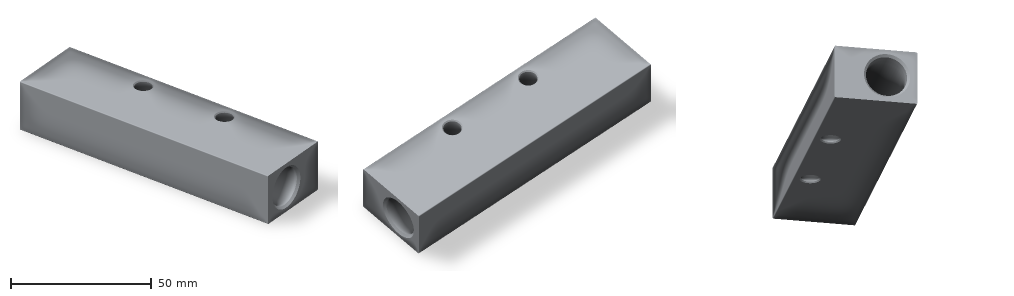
import cadquery as cq

length = 110.0
width = 30.0
height = 20.0
edge_radius = 0.31

bore_diameter = 15.0
bore_mouth_diameter = 16.7
bore_from_front = 11.0

hole_diameter = 6.6
hole_mouth_diameter = 7.5
hole_spacing = 36.0
hole_from_back = 6.0


def chamfered_through_hole(diameter, mouth_diameter, depth):
    """Cutter along +Z from the origin, with a 45 degree chamfer at both ends."""
    radius = diameter / 2
    mouth_radius = mouth_diameter / 2
    chamfer = mouth_radius - radius
    return (
        cq.Workplane("XZ")
        .moveTo(0, 0)
        .lineTo(mouth_radius, 0)
        .lineTo(radius, chamfer)
        .lineTo(radius, depth - chamfer)
        .lineTo(mouth_radius, depth)
        .lineTo(0, depth)
        .close()
        .revolve(360, (0, 0, 0), (0, 1, 0))
    )


block = cq.Workplane("XY").box(length, width, height).edges("|X").fillet(edge_radius)

bore = (
    chamfered_through_hole(bore_diameter, bore_mouth_diameter, length)
    .rotate((0, 0, 0), (0, 1, 0), 90)
    .translate((-length / 2, -width / 2 + bore_from_front, 0))
)
result = block.cut(bore)

cross_hole = chamfered_through_hole(hole_diameter, hole_mouth_diameter, height)
for side in (-1, 1):
    hole_x = side * hole_spacing / 2
    hole_y = width / 2 - hole_from_back
    result = result.cut(cross_hole.translate((hole_x, hole_y, -height / 2)))